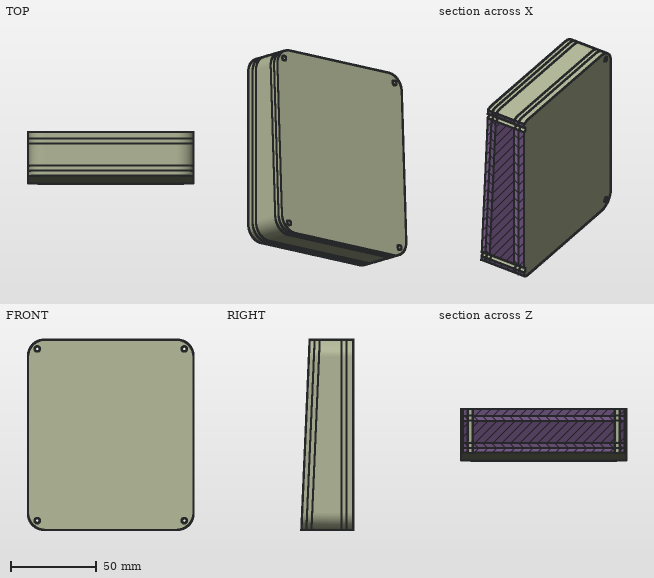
import cadquery as cq
import math

width = 97.44
height = 112.01
corner_radius = 10.0

hole_diameter = 2.9
hole_inset = 5.5

total_depth = 30.58
front_tilt = 2.5
front_cover_thickness = 3.0
front_spacer_thickness = 3.0
back_spacer_thickness = 3.0
back_cover_thickness = 4.0

back_y = total_depth
back_cover_y = back_y - back_cover_thickness
back_spacer_y = back_cover_y - back_spacer_thickness

rise_per_height = math.tan(math.radians(front_tilt))
depth_per_thickness = 1 / math.cos(math.radians(front_tilt))
front_spacer_y = front_cover_thickness * depth_per_thickness
housing_y = front_spacer_y + front_spacer_thickness * depth_per_thickness


def enclosure_block():
    """Full-depth rounded block with the four screw holes through it."""
    hole_pitch_x = width - 2 * hole_inset
    hole_pitch_z = height - 2 * hole_inset
    block = (
        cq.Workplane("XZ")
        .rect(width, height)
        .extrude(-total_depth)
        .edges("|Y")
        .fillet(corner_radius)
    )
    holes = (
        cq.Workplane("XZ")
        .rect(hole_pitch_x, hole_pitch_z, forConstruction=True)
        .vertices()
        .circle(hole_diameter / 2)
        .extrude(-total_depth)
    )
    return block.cut(holes)


def layer(front_y, front_slope, rear_y, rear_slope):
    """Slice of the enclosure between two planes, each placed by its Y at the bottom edge."""
    bottom = -height / 2
    top = height / 2
    slab = (
        cq.Workplane("YZ")
        .moveTo(front_y, bottom)
        .lineTo(rear_y, bottom)
        .lineTo(rear_y + height * rear_slope, top)
        .lineTo(front_y + height * front_slope, top)
        .close()
        .extrude(width / 2, both=True)
    )
    return enclosure_block().intersect(slab)


front_cover = layer(0, rise_per_height, front_spacer_y, rise_per_height)
front_spacer = layer(front_spacer_y, rise_per_height, housing_y, rise_per_height)
housing = layer(housing_y, rise_per_height, back_spacer_y, 0)
back_spacer = layer(back_spacer_y, 0, back_cover_y, 0)
back_cover = layer(back_cover_y, 0, back_y, 0)

result = cq.Compound.makeCompound([
    front_cover.val(),
    front_spacer.val(),
    housing.val(),
    back_spacer.val(),
    back_cover.val(),
])